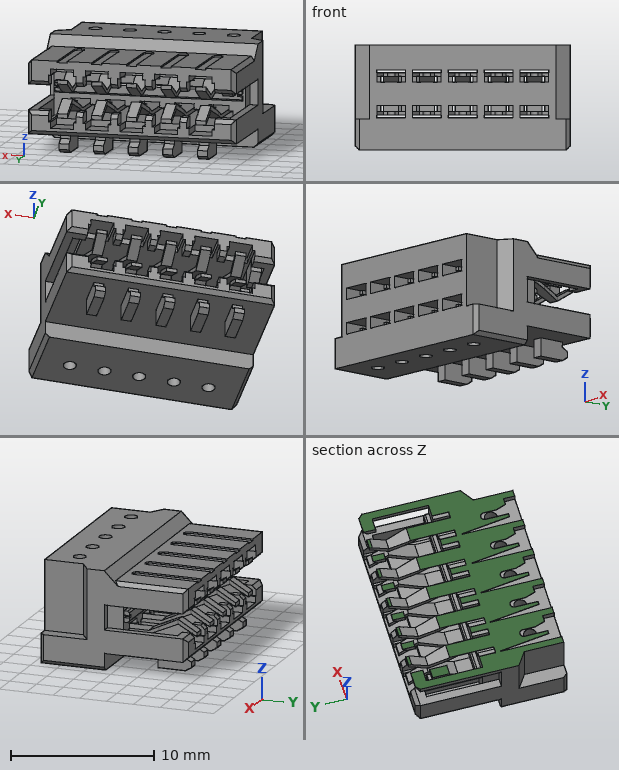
import cadquery as cq

width = 15.0
length = 11.0
height = 7.35
half_width = width / 2
bevel = 0.3

pole_count = 5
pole_pitch = width / 6
pole_places = [(i - (pole_count - 1) / 2) * pole_pitch for i in range(pole_count)]
mid_z = 3.93
row_sides = (1, -1)

body_depth = 4.83
upper_arm_top = 6.62
lower_arm_bottom = 1.3
mouth_half = 0.92
web_depth = 1.2
web_rear = body_depth + web_depth
rim = 0.6
pocket_width = width - 2 * rim

recess_floor = 2.18
recess_inset = 0.99
recess_length = 2.88
recess_ramp = 0.66

channel_width = 2.0
channel_inner = 0.82
channel_outer = 1.65
throat_width = 1.41
pocket_rear = 10.08
pocket_outer = 2.1
pocket_floor_half = 6.0
tip_relief_width = 1.65
tip_relief_front = 9.45
release_hole_diameter = 0.9
release_hole_y = 2.04

plate_inner = 1.22
plate_outer = 1.48
plate_front = 0.82
clamp_gap = 0.52
clamp_end = 2.76
jaw_ramp_x = 0.52
left_jaw_ramp_end = 4.5
right_jaw_ramp_end = 1.58
spring_width = 1.08
spring_tip_width = 0.75
spring_taper_start = 8.18
spring_root = 7.41
apex_y = 9.54
apex_outside = 0.22
apex_inside = 0.57
spring_tip = 10.95
tip_outside = 1.05
tip_inside = 1.35

strip_reach = 0.39
strip_half = 0.42
strip_notch_height = 0.16
strip_bevel = 0.12
strip_width = 13.5
strip_notch_depth = 0.3

groove_width = 0.72
groove_end = 5.98
groove_depth = 0.1

rib_width = groove_width
rib_front = 8.01
rib_foot_rear = 10.08
rib_neck_rear = 10.02
hook_rear = 10.52
hook_bottom = 0.27
hook_top = 0.68
hook_shoulder = 0.96

key_width = 0.75
key_clearance = 0.08
key_front = 8.37
key_foot_rear = 8.95
key_rear = 9.63
key_bottom = 4.34


def block(x_size, y_range, z_range, x=0.0):
    """Box centred on x, spanning the given y and z ranges."""
    y0, y1 = y_range
    z0, z1 = sorted(z_range)
    return cq.Workplane("XY").box(x_size, y1 - y0, z1 - z0).translate((x, (y0 + y1) / 2, (z0 + z1) / 2))


def side_prism(points, x_size, x=0.0):
    """Extrude a (y, z) outline symmetrically about x."""
    return cq.Workplane("YZ").polyline(points).close().extrude(x_size / 2, both=True).translate((x, 0, 0))


def row_z(side, offset):
    """Height at an offset from the mid plane, towards the upper (1) or lower (-1) row."""
    return mid_z + side * offset


def row_block(side, x_size, y_range, offsets, x=0.0):
    """Box in one row, its height range given as offsets from the mid plane."""
    return block(x_size, y_range, [row_z(side, offset) for offset in offsets], x)


def corner_wedge(side):
    """Cutter for the recess beside the wire entry face, on one end."""
    inner = side * (half_width - recess_inset)
    outer = side * half_width
    outline = [(inner, 0), (outer, 0), (outer, recess_length + recess_ramp), (inner, recess_length)]
    return cq.Workplane("XY").workplane(offset=recess_floor).polyline(outline).close().extrude(height)


def upright_bevel(x_side, y, y_inward):
    """Triangular cutter for one upright corner edge."""
    x = x_side * half_width
    outline = [(x, y), (x - x_side * bevel, y), (x, y + y_inward * bevel)]
    return cq.Workplane("XY").polyline(outline).close().extrude(height)


def end_bevel(x_side, z, z_inward, y_range):
    """Triangular cutter along Y for one long edge of an end face."""
    x = x_side * half_width
    outline = [(x, z), (x - x_side * bevel, z), (x, z + z_inward * bevel)]
    y0, y1 = y_range
    return cq.Workplane("XZ", origin=(0, y0, 0)).polyline(outline).close().extrude(y0 - y1)


def make_housing():
    """Plain housing with two arms, its bevels and the front side recesses."""
    shoulder_y = body_depth + height - upper_arm_top
    mouth_low = row_z(-1, mouth_half)
    mouth_high = row_z(1, mouth_half)
    housing = side_prism([
        (0, 0), (body_depth, 0), (body_depth, lower_arm_bottom),
        (length - bevel, lower_arm_bottom), (length, lower_arm_bottom + bevel),
        (length, mouth_low - bevel), (length - bevel, mouth_low), (body_depth, mouth_low),
        (body_depth, mouth_high), (length - bevel, mouth_high), (length, mouth_high + bevel),
        (length, upper_arm_top), (shoulder_y, upper_arm_top), (body_depth, height), (0, height),
    ], width)
    slope_foot = side_prism([
        (shoulder_y, upper_arm_top), (shoulder_y + bevel, upper_arm_top - bevel),
        (shoulder_y, upper_arm_top - bevel),
    ], width)
    for side in (1, -1):
        housing = housing.cut(end_bevel(side, upper_arm_top, -1, (shoulder_y, length)).cut(slope_foot))
        housing = housing.cut(upright_bevel(side, length, -1)).cut(upright_bevel(side, 0, 1))
        housing = housing.cut(end_bevel(side, 0, 1, (0, body_depth)))
        housing = housing.cut(corner_wedge(side))
    return housing


def make_web():
    """Wall closing the mouth, with a stop strip along its rear that is notched at both ends."""
    web = block(pocket_width, (body_depth, web_rear), (row_z(-1, mouth_half), row_z(1, mouth_half)))
    strip_rear = web_rear + strip_reach
    low = mid_z - strip_half
    high = mid_z + strip_half
    strip = side_prism([
        (web_rear, low), (strip_rear - strip_bevel, low), (strip_rear, low + strip_bevel),
        (strip_rear, high - strip_bevel), (strip_rear - strip_bevel, high), (web_rear, high),
    ], strip_width)
    notch_heights = (mid_z - strip_notch_height / 2, mid_z + strip_notch_height / 2)
    for side in (1, -1):
        notch_x = side * (strip_width - strip_notch_depth) / 2
        strip = strip.cut(block(strip_notch_depth, (web_rear, strip_rear), notch_heights, notch_x))
    return web.union(strip)


def cut_row(housing, side):
    """Contact pocket in one arm and the wire channel of each pole."""
    housing = housing.cut(row_block(side, pocket_width, (web_rear, pocket_rear), (mouth_half, channel_outer)))
    trench_width = pocket_width / 2 - pocket_floor_half
    for end in (1, -1):
        trench_x = end * (pocket_floor_half + trench_width / 2)
        housing = housing.cut(
            row_block(side, trench_width, (web_rear, pocket_rear), (mouth_half, pocket_outer), trench_x)
        )
    for x in pole_places:
        channels = (
            row_block(side, channel_width, (0, body_depth), (channel_inner, channel_outer), x),
            row_block(side, throat_width, (body_depth, web_rear), (channel_inner, channel_outer), x),
            row_block(side, channel_width, (body_depth, web_rear), (plate_inner, channel_outer), x),
            row_block(side, channel_width, (pocket_rear, length), (channel_inner, channel_outer), x),
            row_block(side, tip_relief_width, (tip_relief_front, length), (channel_outer, pocket_outer), x),
        )
        for channel in channels:
            housing = housing.cut(channel)
    return housing


def make_contact(side, x):
    """Clamp plate with two ramped jaws around a wire gap, with a bent spring reaching the mouth."""
    half_channel = channel_width / 2
    half_gap = clamp_gap / 2
    gap_round_y = clamp_end - half_gap
    plate_bottom = min(row_z(side, plate_inner), row_z(side, plate_outer))
    plate = (
        cq.Workplane("XY", origin=(x, 0, plate_bottom))
        .moveTo(-half_channel, body_depth)
        .lineTo(-half_channel, left_jaw_ramp_end)
        .lineTo(-jaw_ramp_x, plate_front)
        .lineTo(-half_gap, plate_front)
        .lineTo(-half_gap, gap_round_y)
        .threePointArc((0, clamp_end), (half_gap, gap_round_y))
        .lineTo(half_gap, right_jaw_ramp_end)
        .lineTo(jaw_ramp_x, plate_front)
        .lineTo(half_channel, plate_front)
        .lineTo(half_channel, body_depth)
        .close()
        .extrude(plate_outer - plate_inner)
    )
    outline = [
        (body_depth, plate_inner), (spring_root, plate_inner), (apex_y, apex_outside),
        (spring_tip, tip_outside), (spring_tip, tip_inside), (apex_y, apex_inside),
        (spring_root, plate_outer), (body_depth, plate_outer),
    ]
    spring = side_prism([(y, row_z(side, offset)) for y, offset in outline], spring_width, x)
    half_root = spring_width / 2
    half_tip = spring_tip_width / 2
    taper = (
        cq.Workplane("XY")
        .polyline([
            (x - half_root, body_depth), (x + half_root, body_depth),
            (x + half_root, spring_taper_start), (x + half_tip, apex_y), (x + half_tip, spring_tip),
            (x - half_tip, spring_tip), (x - half_tip, apex_y), (x - half_root, spring_taper_start),
        ])
        .close()
        .extrude(height)
    )
    return plate.union(spring.intersect(taper))


def make_groove(x):
    """Round-ended marking groove in the upper arm, open at the rear."""
    round_y = groove_end + groove_width / 2
    floor = upper_arm_top - groove_depth
    round_end = cq.Workplane("XY", origin=(x, round_y, floor)).circle(groove_width / 2).extrude(groove_depth)
    return block(groove_width, (round_y, length), (floor, upper_arm_top), x).union(round_end)


def make_coding_rib(x):
    """Hooked rib below the lower arm."""
    return side_prism([
        (rib_front, lower_arm_bottom), (rib_front, 0), (rib_foot_rear, 0), (hook_rear, hook_bottom),
        (hook_rear, hook_top), (rib_neck_rear, hook_shoulder), (rib_neck_rear, lower_arm_bottom),
    ], rib_width, x)


def make_key():
    """Polarising key hanging from the upper arm beside the first pole."""
    root = row_z(1, pocket_outer)
    mouth_high = row_z(1, mouth_half)
    x = -pocket_width / 2 + key_clearance + key_width / 2
    return side_prism([
        (key_front, root), (key_front, key_bottom), (key_foot_rear, key_bottom),
        (key_rear, mouth_high), (key_rear, root),
    ], key_width, x)


part = make_housing().union(make_web())
for row_side in row_sides:
    part = cut_row(part, row_side)

for pole_x in pole_places:
    release_hole = (
        cq.Workplane("XY").center(pole_x, release_hole_y).circle(release_hole_diameter / 2).extrude(height)
    )
    part = part.cut(release_hole).cut(make_groove(pole_x)).union(make_coding_rib(pole_x))
    for row_side in row_sides:
        part = part.union(make_contact(row_side, pole_x))

result = part.union(make_key())